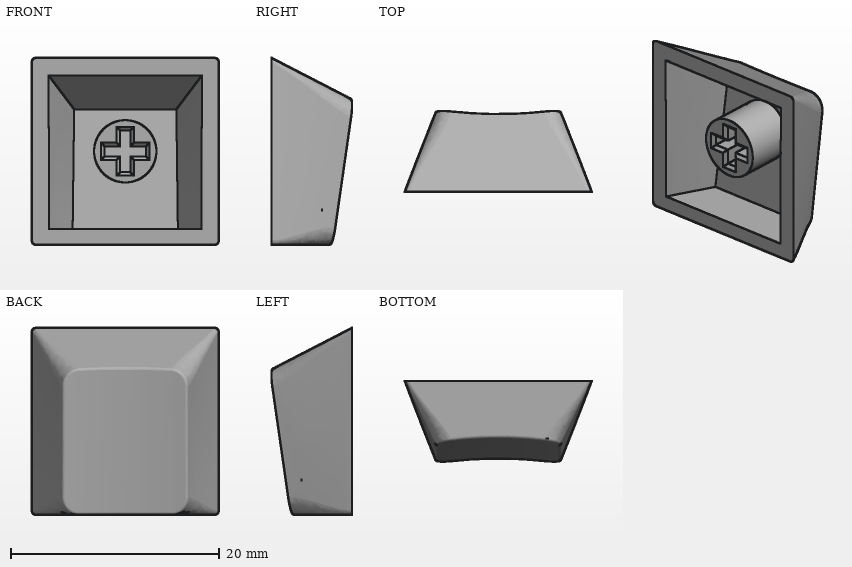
import cadquery as cq
import math

size = 18.0
half_width = size / 2

top_half_width = 6.0
top_high_y = 7.95
top_high_z = 13.9
top_low_y = 5.95
skirt_radius = 0.43
crown_radius = 1.7
section_count = 6

dish_depth = 0.47
rim_fillet = 0.27

rim_low_z = 1.51
rim_high_z = 16.3
rim_low_half_width = 7.3
rim_high_half_width = 7.38
floor_high_z = 13.03
floor_high_y = 6.3
floor_low_y = 4.6
floor_low_half_width = 5.05
floor_high_half_width = 4.91

stem_diameter = 6.0
stem_face_y = 0.9
cross_length = 4.68
cross_width = 1.65
cross_inset = 0.35
mouth_depth = 0.35


def blend(start, end, fraction):
    """Linear interpolation between two values."""
    return start + (end - start) * fraction


def tilted_plane(low_y, high_y, low_z, high_z):
    """Plane whose local x is global X and whose local y runs from the low to the high edge."""
    return cq.Plane(
        origin=(0, (low_y + high_y) / 2, (low_z + high_z) / 2),
        xDir=(1, 0, 0),
        normal=(0, -(high_z - low_z), high_y - low_y),
    )


def skirt_section(fraction):
    """Rounded rectangle at a fraction of the way from the open rim to the top."""
    low_y = blend(0, top_low_y, fraction)
    high_y = blend(0, top_high_y, fraction)
    high_z = blend(size, top_high_z, fraction)
    smooth_fraction = fraction**2 * (3 - 2 * fraction)
    radius = blend(skirt_radius, crown_radius, smooth_fraction)
    outline = cq.Sketch().rect(
        2 * blend(half_width, top_half_width, fraction), math.hypot(high_y - low_y, high_z)
    )
    outline = outline.vertices().fillet(radius).reset().faces()
    plane = tilted_plane(low_y, high_y, 0, high_z)
    return outline.val().outerWire().moved(plane.location)


def make_skirt():
    """Tapered body whose corners grow rounder toward the tilted top."""
    sections = [skirt_section(i / (section_count - 1)) for i in range(section_count)]
    return cq.Workplane(cq.Solid.makeLoft(sections))


def make_dish():
    """Shallow cylinder sunk into the top, with its axis along the slope."""
    radius = (top_half_width**2 + dish_depth**2) / (2 * dish_depth)
    plane = tilted_plane(top_low_y, top_high_y, 0, top_high_z)
    cross_section = cq.Workplane(cq.Plane(origin=plane.origin, xDir=(1, 0, 0), normal=plane.yDir))
    return cross_section.center(0, radius - dish_depth).circle(radius).extrude(size, both=True)


def trapezoid(low_y, high_y, high_z, low_half_width, high_half_width):
    """Closed four-sided wire with its low edge at the bottom of the cavity."""
    return cq.Wire.makePolygon(
        [
            cq.Vector(-low_half_width, low_y, rim_low_z),
            cq.Vector(low_half_width, low_y, rim_low_z),
            cq.Vector(high_half_width, high_y, high_z),
            cq.Vector(-high_half_width, high_y, high_z),
        ],
        close=True,
    )


def make_cavity():
    """Tapered hollow with a floor that slopes like the top."""
    rim = trapezoid(0, 0, rim_high_z, rim_low_half_width, rim_high_half_width)
    floor = trapezoid(
        floor_low_y, floor_high_y, floor_high_z, floor_low_half_width, floor_high_half_width
    )
    return cq.Workplane(cq.Solid.makeLoft([rim, floor], True))


def make_stem():
    """Round post reaching from just inside the rim into the sloped floor."""
    face = cq.Workplane("XZ", origin=(0, stem_face_y, half_width))
    return face.circle(stem_diameter / 2).extrude(stem_face_y - floor_high_y)


def cross_sketch(inset):
    """Plus-shaped outline, narrowed by an inset on every side."""
    length = cross_length - 2 * inset
    width = cross_width - 2 * inset
    return cq.Sketch().rect(length, width).rect(width, length).clean()


def make_cross():
    """Socket running the whole length of the stem, with a chamfered mouth."""
    face = cq.Workplane("XZ", origin=(0, stem_face_y, half_width))
    socket = face.placeSketch(cross_sketch(cross_inset)).extrude(stem_face_y - floor_high_y)
    mouth = face.placeSketch(
        cross_sketch(0),
        cross_sketch(cross_inset).moved(cq.Location(cq.Vector(0, 0, -mouth_depth))),
    ).loft()
    return socket.union(mouth)


def make_body():
    """Solid cap with its dish rim rounded over."""
    dished = make_skirt().cut(make_dish())
    dish_point = (0, (top_low_y + top_high_y) / 2 - dish_depth, top_high_z / 2)
    dish_face = dished.faces(cq.selectors.NearestToPointSelector(dish_point))
    return dished.newObject(dish_face.edges().vals()).fillet(rim_fillet)


result = make_body().cut(make_cavity()).union(make_stem().cut(make_cross()))